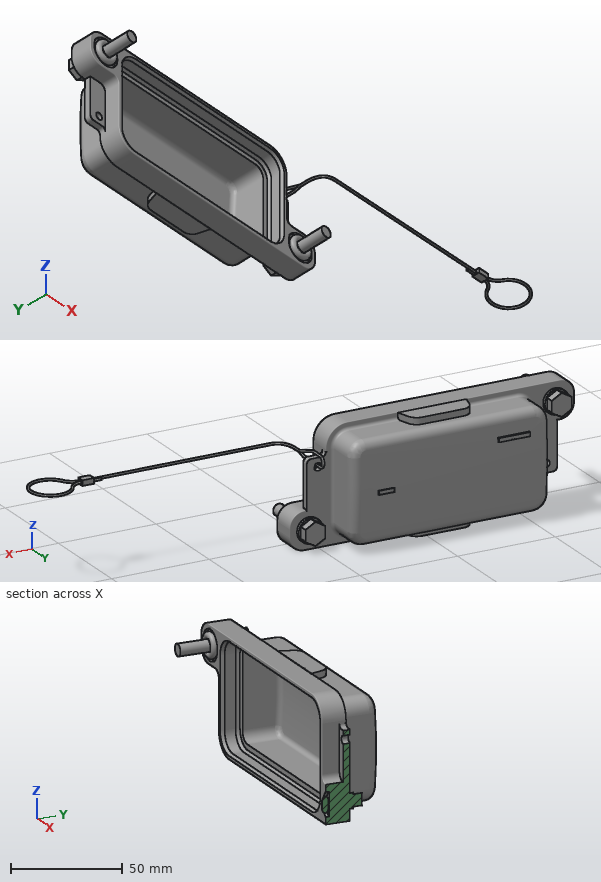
import cadquery as cq
import math


MARGIN = 0.1

CORNER_X = 43.4
CORNER_Z = 17.9
FLANGE_RADIUS = 11.095
SHELL_RADIUS = 7.4
MOUTH_RADIUS = 8.5
CAVITY_RADIUS = 5.1

FLANGE_THICKNESS = 12.1
FLANGE_EDGE_ROUND = 0.4
FLANGE_HALF_HEIGHT = CORNER_Z + FLANGE_RADIUS
FLANGE_HALF_WIDTH = CORNER_X + FLANGE_RADIUS

SHELL_BACK_Y = 30.4
SHELL_CROWN = 1.2
SHELL_EDGE_ROUND = 4.4
SHELL_BASE_FILLET = 1.6
BACK_WALL = 1.9
CAVITY_EDGE_ROUND = 2.5
LEDGE_DEPTH = 9.2
MOUTH_BEVEL_WIDTH = 0.7
MOUTH_BEVEL_DEPTH = 1.9

LOBE_END_X = 73.0
LOBE_HEIGHT = 19.2
LOBE_CORNER_RADIUS = 7.6
LOBE_INNER_FILLET = 3.5
SCREW_X = 63.1
SCREW_Z = FLANGE_HALF_HEIGHT - LOBE_HEIGHT / 2

TAB_END_X = 64.2
TAB_LOW_Z = 14.6
TAB_THICKNESS = 3.4
TAB_CORNER_RADIUS = 2.3
TAB_ROOT_FILLET = 1.8
TAB_HOLE_X = 58.4
TAB_HOLE_Z = 10.1
TAB_HOLE_DIAMETER = 3.8

PAD_BASE_HALF = 17.6
PAD_TOP_HALF = 14.6
PAD_TOP_Y = 22.3
PAD_ROUND = 5.5
PAD_SETBACK = 0.3

MARK_TOP_Y = 31.0
MARK_HEIGHT_Z = 2.0
MARKS = [(-32.0, 14.0, 16.0), (33.5, 0.0, 8.0)]

SHANK_DIAMETER = 6.0
SHANK_LENGTH = 16.2
HEAD_ACROSS_FLATS = 10.2
HEAD_TOP_Y = 18.2
WASHER_DIAMETER = 12.4
WASHER_THICKNESS = 1.7
SEAT_DIAMETER = 15.2
SEAT_DEPTH = 1.6
SEAL_MINOR_RADIUS = 1.75
SEAL_PROUD = 1.9

WIRE_RADIUS = 0.6
WIRE_X = 59.2
WIRE_Z = 12.4
HITCH_HOLE_Z = 11.3
HITCH_OUTER_Z = 16.7
HITCH_BACK_Y = 18.4
HITCH_JOIN_Y = -4.0
BEND_START_Y = -7.0
BEND_END_X = 67.5
BEND_END_Y = -17.85
RING_X = 178.87
RING_Y = -18.7
RING_Z = 12.0
RING_RADIUS = 10.0
RING_NECK_X = 163.5
STRAND_OFFSET = 0.7
CRIMP_LENGTH = 6.0
CRIMP_WIDTH = 4.2
CRIMP_THICKNESS = 2.8
TAIL_LENGTH = 4.0


def rounded_block(corner_radius, y_front, y_back):
    """Rounded rectangle about the shared corner centres, from y_front back to y_back."""
    block = cq.Workplane("XZ", origin=(0, y_back, 0))
    block = block.rect(2 * (CORNER_X + corner_radius), 2 * (CORNER_Z + corner_radius))
    block = block.extrude(y_back - y_front)
    return block.edges("|Y").fillet(corner_radius)


def crowned_block(corner_radius, y_front, back_y, edge_round):
    """Rounded block whose back face is a shallow arch across Z."""
    half_z = CORNER_Z + corner_radius
    half_x = CORNER_X + corner_radius
    arch = (
        cq.Workplane("YZ", origin=(-half_x, 0, 0))
        .moveTo(y_front, -half_z)
        .lineTo(back_y - SHELL_CROWN, -half_z)
        .threePointArc((back_y, 0), (back_y - SHELL_CROWN, half_z))
        .lineTo(y_front, half_z)
        .close()
        .extrude(2 * half_x)
    )
    block = arch.edges("|Y").fillet(corner_radius)
    return block.faces(">Y").edges().fillet(edge_round)


def opposite_pair(feature):
    """The feature together with its copy turned half way round the Y axis."""
    return feature.union(feature.rotate((0, 0, 0), (0, 1, 0), 180))


def at_junction(x, z):
    """Selects the edges along Y that stand at (x, z)."""
    near = (x - MARGIN, -MARGIN, z - MARGIN)
    far = (x + MARGIN, FLANGE_THICKNESS + MARGIN, z + MARGIN)
    return cq.selectors.BoxSelector(near, far)


def rim_at(corner_radius, y):
    """Selects the rounded-rectangle rim of the given corner radius that lies at y."""
    half_x = CORNER_X + corner_radius + MARGIN
    half_z = CORNER_Z + corner_radius + MARGIN
    near = (-half_x, y - MARGIN, -half_z)
    far = (half_x, y + MARGIN, half_z)
    return cq.selectors.BoxSelector(near, far, boundingbox=True)


def make_flange():
    """Flange plate with a screw lobe at two opposite corners."""
    lobe_low_z = FLANGE_HALF_HEIGHT - LOBE_HEIGHT
    lobe = (
        cq.Workplane("XY")
        .box(LOBE_END_X - CORNER_X, FLANGE_THICKNESS, LOBE_HEIGHT, centered=False)
        .translate((-LOBE_END_X, 0, lobe_low_z))
        .edges("|Y and <X")
        .fillet(LOBE_CORNER_RADIUS)
    )
    flange = rounded_block(FLANGE_RADIUS, 0, FLANGE_THICKNESS).union(opposite_pair(lobe))
    for side in (-1, 1):
        corner = at_junction(side * FLANGE_HALF_WIDTH, -side * lobe_low_z)
        flange = flange.edges(corner).fillet(LOBE_INNER_FILLET)
    return flange.faces("<Y or >Y").edges().fillet(FLANGE_EDGE_ROUND)


def make_tab():
    """Left-hand tab, running from the underside of the lobe down the end of the flange."""
    root_x = -FLANGE_HALF_WIDTH
    root_low_z = -TAB_LOW_Z - TAB_ROOT_FILLET - MARGIN
    buried_x = root_x + FLANGE_EDGE_ROUND
    outline = (
        cq.Workplane("XZ", origin=(0, FLANGE_THICKNESS, 0))
        .moveTo(-TAB_END_X, SCREW_Z)
        .lineTo(-TAB_END_X, -TAB_LOW_Z)
        .lineTo(root_x, -TAB_LOW_Z)
        .lineTo(root_x, root_low_z)
        .lineTo(buried_x, root_low_z)
        .lineTo(buried_x, SCREW_Z)
        .close()
    )
    tab = outline.extrude(TAB_THICKNESS)
    tab = tab.edges(at_junction(-TAB_END_X, -TAB_LOW_Z)).fillet(TAB_CORNER_RADIUS)
    return tab.edges(at_junction(root_x, -TAB_LOW_Z)).fillet(TAB_ROOT_FILLET)


def make_tab_hole():
    """Lanyard hole through the left-hand tab."""
    return (
        cq.Workplane("XZ", origin=(-TAB_HOLE_X, 0, -TAB_HOLE_Z))
        .circle(TAB_HOLE_DIAMETER / 2)
        .extrude(-2 * FLANGE_THICKNESS)
    )


def make_finger_pads():
    """One trapezoid run through the full height, to be parted by the cavity."""
    half_height = FLANGE_HALF_HEIGHT - PAD_SETBACK
    root_y = FLANGE_THICKNESS / 2
    pads = (
        cq.Workplane("XY", origin=(0, 0, -half_height))
        .moveTo(-PAD_BASE_HALF, root_y)
        .lineTo(-PAD_BASE_HALF, FLANGE_THICKNESS)
        .lineTo(-PAD_TOP_HALF, PAD_TOP_Y)
        .lineTo(PAD_TOP_HALF, PAD_TOP_Y)
        .lineTo(PAD_BASE_HALF, FLANGE_THICKNESS)
        .lineTo(PAD_BASE_HALF, root_y)
        .close()
        .extrude(2 * half_height)
    )
    return pads.faces(">Y").edges("|Z").fillet(PAD_ROUND)


def make_marking_pads():
    """Low plain bars standing on the crowned back."""
    root_y = SHELL_BACK_Y - BACK_WALL / 2
    pads = cq.Workplane("XY")
    for x, z, length in MARKS:
        bar = cq.Workplane("XZ", origin=(x, MARK_TOP_Y, z)).rect(length, MARK_HEIGHT_Z)
        pads = pads.add(bar.extrude(MARK_TOP_Y - root_y))
    return pads.combine()


def cut_cavity(body):
    """Bevelled mouth with a ledge at its bottom, and the deeper cavity inside the ledge."""
    mouth = rounded_block(MOUTH_RADIUS, 0, LEDGE_DEPTH)
    mouth = mouth.faces(">Y").edges().chamfer(MOUTH_BEVEL_DEPTH, MOUTH_BEVEL_WIDTH)
    body = body.cut(mouth)
    body = body.edges(rim_at(MOUTH_RADIUS, 0)).chamfer(MOUTH_BEVEL_WIDTH, MOUTH_BEVEL_DEPTH)
    return body.cut(crowned_block(CAVITY_RADIUS, 0, SHELL_BACK_Y - BACK_WALL, CAVITY_EDGE_ROUND))


def make_cover():
    shell = crowned_block(SHELL_RADIUS, FLANGE_THICKNESS / 2, SHELL_BACK_Y, SHELL_EDGE_ROUND)
    body = make_flange().union(shell)
    body = body.edges(rim_at(SHELL_RADIUS, FLANGE_THICKNESS)).fillet(SHELL_BASE_FILLET)
    body = body.union(make_finger_pads()).union(make_marking_pads()).union(opposite_pair(make_tab()))
    return cut_cavity(body).cut(opposite_pair(make_tab_hole()))


def make_screw_seat():
    """Round recess for the seal in the front of the left-hand lobe."""
    seat = cq.Workplane("XZ", origin=(-SCREW_X, 0, SCREW_Z))
    return seat.circle(SEAT_DIAMETER / 2).extrude(-SEAT_DEPTH)


def make_screw():
    """Hexagon-head screw with a washer face and a round seal ring about its shank."""
    half_side_angle = 30
    head_corner = HEAD_ACROSS_FLATS / math.cos(math.radians(half_side_angle))
    shank = cq.Workplane("XZ", origin=(0, FLANGE_THICKNESS, 0)).circle(SHANK_DIAMETER / 2)
    shank = shank.extrude(FLANGE_THICKNESS + SHANK_LENGTH)
    washer = cq.Workplane("XZ", origin=(0, FLANGE_THICKNESS, 0)).circle(WASHER_DIAMETER / 2)
    washer = washer.extrude(-WASHER_THICKNESS)
    head = cq.Workplane("XZ", origin=(0, FLANGE_THICKNESS, 0)).polygon(6, head_corner)
    head = head.extrude(FLANGE_THICKNESS - HEAD_TOP_Y).rotate((0, 0, 0), (0, 1, 0), half_side_angle)
    seal_radius = SHANK_DIAMETER / 2 + SEAL_MINOR_RADIUS - MARGIN
    seal = (
        cq.Workplane("XY")
        .center(seal_radius, SEAL_MINOR_RADIUS - SEAL_PROUD)
        .circle(SEAL_MINOR_RADIUS)
        .revolve(360, (-seal_radius, 0), (-seal_radius, 1))
    )
    screw = shank.union(washer).union(head).union(seal)
    return screw.translate((-SCREW_X, 0, SCREW_Z))


def wire_along(path, start, direction):
    """Round wire swept along a path that leaves start in the given direction."""
    section = cq.Workplane(cq.Plane(origin=start, normal=direction)).circle(WIRE_RADIUS)
    return section.sweep(path, transition="round")


def make_hitch():
    """Loop through the tab hole and back round the outside edge of the tab."""
    cap_radius = (HITCH_OUTER_Z - HITCH_HOLE_Z) / 2
    cap_y = HITCH_BACK_Y - cap_radius
    path = (
        cq.Workplane("YZ", origin=(WIRE_X, 0, 0))
        .moveTo(HITCH_JOIN_Y, WIRE_Z)
        .lineTo(0, HITCH_HOLE_Z)
        .lineTo(cap_y, HITCH_HOLE_Z)
        .threePointArc((HITCH_BACK_Y, HITCH_HOLE_Z + cap_radius), (cap_y, HITCH_OUTER_Z))
        .lineTo(FLANGE_THICKNESS - TAB_THICKNESS, HITCH_OUTER_Z)
        .lineTo(HITCH_JOIN_Y, WIRE_Z)
    )
    start = (WIRE_X, HITCH_JOIN_Y, WIRE_Z)
    return wire_along(path, start, (0, -HITCH_JOIN_Y, HITCH_HOLE_Z - WIRE_Z))


def make_lead():
    """Wire from the hitch, round a bend, and out to the crimp."""
    join = cq.Vector(WIRE_X, HITCH_JOIN_Y + WIRE_RADIUS, WIRE_Z)
    bend_start = cq.Vector(WIRE_X, BEND_START_Y, WIRE_Z)
    bend_end = cq.Vector(BEND_END_X, BEND_END_Y, WIRE_Z)
    crimp_centre = cq.Vector(RING_NECK_X - CRIMP_LENGTH / 2, RING_Y, RING_Z)
    bend = cq.Edge.makeSpline([bend_start, bend_end], tangents=[cq.Vector(0, -1, 0), crimp_centre - bend_end])
    path = cq.Wire.assembleEdges(
        [cq.Edge.makeLine(join, bend_start), bend, cq.Edge.makeLine(bend_end, crimp_centre)]
    )
    return wire_along(cq.Workplane(path), join.toTuple(), (0, -1, 0))


def make_ring():
    """Eye at the end of the wire: a circle opening out of two neck arcs tangent to it."""
    run = RING_X - RING_NECK_X
    neck_radius = (run**2 + STRAND_OFFSET**2 - RING_RADIUS**2) / (2 * (RING_RADIUS - STRAND_OFFSET))
    neck_rise = STRAND_OFFSET + neck_radius
    angle = math.atan2(neck_rise, run)
    touch_x = RING_X - RING_RADIUS * math.cos(angle)
    touch_rise = RING_RADIUS * math.sin(angle)
    half_sweep = (math.pi / 2 - angle) / 2
    middle_x = RING_NECK_X + neck_radius * math.sin(half_sweep)
    middle_rise = neck_rise - neck_radius * math.cos(half_sweep)
    crimp_x = RING_NECK_X - CRIMP_LENGTH / 2
    path = (
        cq.Workplane("XY", origin=(0, RING_Y, RING_Z))
        .moveTo(crimp_x, STRAND_OFFSET)
        .lineTo(RING_NECK_X, STRAND_OFFSET)
        .threePointArc((middle_x, middle_rise), (touch_x, touch_rise))
        .threePointArc((RING_X + RING_RADIUS, 0), (touch_x, -touch_rise))
        .threePointArc((middle_x, -middle_rise), (RING_NECK_X, -STRAND_OFFSET))
        .lineTo(crimp_x, -STRAND_OFFSET)
    )
    return wire_along(path, (crimp_x, RING_Y + STRAND_OFFSET, RING_Z), (1, 0, 0))


def make_crimp():
    """Crimp sleeve with the cut end of the wire trailing out beside the lead."""
    crimp = cq.Workplane("XY").box(CRIMP_LENGTH, CRIMP_WIDTH, CRIMP_THICKNESS)
    crimp = crimp.translate((RING_NECK_X - CRIMP_LENGTH / 2, RING_Y, RING_Z))
    tail_start_x = RING_NECK_X - CRIMP_LENGTH - TAIL_LENGTH
    tail = cq.Workplane("YZ", origin=(tail_start_x, RING_Y + 2 * STRAND_OFFSET, RING_Z))
    return crimp.union(tail.circle(WIRE_RADIUS).extrude(TAIL_LENGTH + CRIMP_LENGTH / 2))


part = make_cover().cut(opposite_pair(make_screw_seat())).union(opposite_pair(make_screw()))
lanyard = make_lead().union(make_hitch()).union(make_ring()).union(make_crimp())
result = part.union(lanyard)